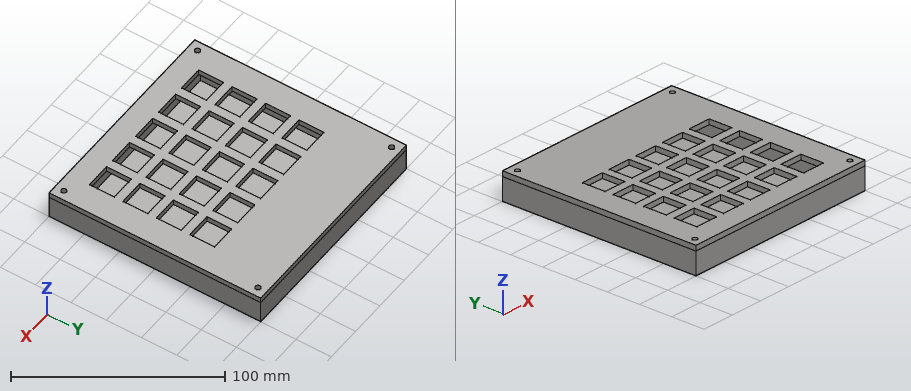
import cadquery as cq

side = 120.0
total_height = 16.0
plate_thickness = 3.0
case_height = total_height - plate_thickness

wall = 10.0
floor_thickness = plate_thickness

screw_diameter = 2.9
screw_spacing = side - wall

columns = 5
rows = 4
window_size = 14.0
window_pitch = 19.0
front_margin = 12.6
window_grid_depth = (rows - 1) * window_pitch + window_size
window_grid_y = -side / 2 + front_margin + window_grid_depth / 2


def square_block(height, base_z):
    """Full-size square block with its underside at base_z."""
    return cq.Workplane("XY").workplane(offset=base_z).rect(side, side).extrude(height)


def drill_screw_holes(body):
    """Cut a through hole near each of the four corners."""
    return (
        body.faces(">Z")
        .workplane(origin=(0, 0, 0))
        .rect(screw_spacing, screw_spacing, forConstruction=True)
        .vertices()
        .hole(screw_diameter)
    )


def make_case():
    """Open-topped box with thick walls."""
    cavity_side = side - 2 * wall
    cavity = (
        cq.Workplane("XY")
        .workplane(offset=floor_thickness)
        .rect(cavity_side, cavity_side)
        .extrude(case_height - floor_thickness)
    )
    return drill_screw_holes(square_block(case_height, 0).cut(cavity))


def make_faceplate():
    """Flat plate with a grid of square key windows."""
    windows = (
        cq.Workplane("XY")
        .workplane(offset=case_height)
        .center(0, window_grid_y)
        .rarray(window_pitch, window_pitch, columns, rows)
        .rect(window_size, window_size)
        .extrude(plate_thickness)
    )
    return drill_screw_holes(square_block(plate_thickness, case_height).cut(windows))


case = make_case()
faceplate = make_faceplate()

result = cq.Compound.makeCompound([case.val(), faceplate.val()])